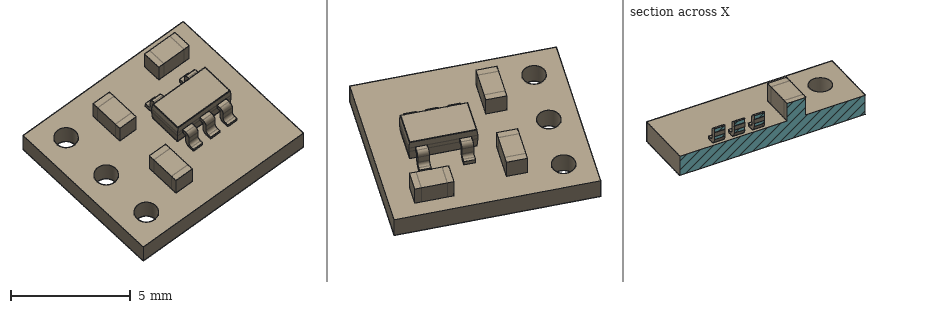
import cadquery as cq
import math

board_width = 7.62
board_length = 8.89
board_thickness = 1.005
hole_diameter = 1.02
hole_pitch = 2.54
hole_edge_distance = 1.28

passive_length = 1.69
passive_width = 0.91
passive_height = 0.9
terminal_length = 0.285
front_passive_x = 1.78
front_passive_y = -1.14
side_passive_x = -2.68
side_passive_y = 2.54

package_x = -0.045
package_y = 1.58
package_tilt = 1.3
package_width = 1.65
package_length = 2.97
package_bottom = 0.13
package_top = 1.165
draft_inset = 0.04
rim_chamfer = 0.02

lead_top = 0.845
foot_top = 0.16
lead_thickness = 0.205
lead_width = 0.51
lead_pitch = 0.95
lead_span = 3.06
foot_flat = 0.14
upper_bend_inner = 0.01
lower_bend_inner = 0.16


def make_board():
    hole_y = hole_edge_distance - board_length / 2
    board = cq.Workplane("XY").box(board_width, board_length, board_thickness, centered=(True, True, False))
    hole_centres = [(i * hole_pitch, hole_y) for i in (-1, 0, 1)]
    return board.faces(">Z").workplane(origin=(0, 0, 0)).pushPoints(hole_centres).hole(hole_diameter)


def make_passive(x, y, turn):
    """Chip component standing on the board, its long side turned from X by the given angle."""
    middle_length = passive_length - 2 * terminal_length
    terminal_offset = (middle_length + terminal_length) / 2
    upright = (True, True, False)
    passive = cq.Workplane("XY").box(middle_length, passive_width, passive_height, centered=upright)
    for side in (-1, 1):
        terminal = cq.Workplane("XY").box(terminal_length, passive_width, passive_height, centered=upright)
        passive = passive.union(terminal.translate((side * terminal_offset, 0, 0)), clean=False)
    return passive.rotate((0, 0, 0), (0, 0, 1), turn).translate((x, y, board_thickness))


def make_package_body():
    """Moulded body: a straight band level with the leads, drafted above and below it, with chamfered rims."""
    band_bottom = lead_top - lead_thickness

    def drafted_block(start, height):
        angle = math.degrees(math.atan2(draft_inset, abs(height)))
        outline = cq.Workplane("XY", origin=(0, 0, start)).rect(package_width, package_length)
        return outline.extrude(height, taper=angle)

    band = (
        cq.Workplane("XY", origin=(0, 0, band_bottom))
        .rect(package_width, package_length)
        .extrude(lead_thickness)
    )
    upper = drafted_block(lead_top, package_top - lead_top)
    lower = drafted_block(band_bottom, package_bottom - band_bottom)
    return band.union(upper).union(lower).faces("<Z or >Z").chamfer(rim_chamfer)


def make_lead(side, y):
    """S-shaped lead leaving the body towards -X (side -1) or +X (side 1)."""
    upper_bend_outer = upper_bend_inner + lead_thickness
    lower_bend_outer = lower_bend_inner + lead_thickness
    tip = lead_span / 2
    foot_end = tip - foot_flat
    shank_outer = foot_end - lower_bend_inner
    shank_inner = shank_outer - lead_thickness
    shoulder = shank_outer - upper_bend_outer
    root = package_width / 2 - lead_thickness
    lead_bottom = lead_top - lead_thickness
    foot_bottom = foot_top - lead_thickness

    def bend_middle(centre_x, centre_z, radius, toward):
        offset = radius * math.sqrt(0.5) * toward
        return (side * (centre_x + offset), centre_z + offset)

    def upper_bend(radius):
        return bend_middle(shoulder, lead_top - upper_bend_outer, radius, 1)

    def lower_bend(radius):
        return bend_middle(foot_end, foot_top + lower_bend_inner, radius, -1)

    profile = (
        cq.Workplane("XZ")
        .moveTo(side * root, lead_top)
        .lineTo(side * shoulder, lead_top)
        .threePointArc(upper_bend(upper_bend_outer), (side * shank_outer, lead_top - upper_bend_outer))
        .lineTo(side * shank_outer, foot_top + lower_bend_inner)
        .threePointArc(lower_bend(lower_bend_inner), (side * foot_end, foot_top))
        .lineTo(side * tip, foot_top)
        .lineTo(side * tip, foot_bottom)
        .lineTo(side * foot_end, foot_bottom)
        .threePointArc(lower_bend(lower_bend_outer), (side * shank_inner, foot_bottom + lower_bend_outer))
        .lineTo(side * shank_inner, lead_bottom - upper_bend_inner)
        .threePointArc(upper_bend(upper_bend_inner), (side * shoulder, lead_bottom))
        .lineTo(side * root, lead_bottom)
        .close()
    )
    return profile.extrude(lead_width / 2, both=True).translate((0, y, 0))


def make_package():
    package = make_package_body()
    lead_rows = {-1: (-1, 1), 1: (-1, 0, 1)}
    for side, rows in lead_rows.items():
        for row in rows:
            package = package.union(make_lead(side, row * lead_pitch))
    tilted = package.rotate((0, 0, 0), (0, 1, 0), package_tilt)
    return tilted.translate((package_x, package_y, board_thickness))


result = make_board()
for passive_x, passive_y, passive_turn in (
    (-front_passive_x, front_passive_y, 0),
    (front_passive_x, front_passive_y, 0),
    (side_passive_x, side_passive_y, 90),
):
    result = result.union(make_passive(passive_x, passive_y, passive_turn), clean=False)
result = result.union(make_package(), clean=False)